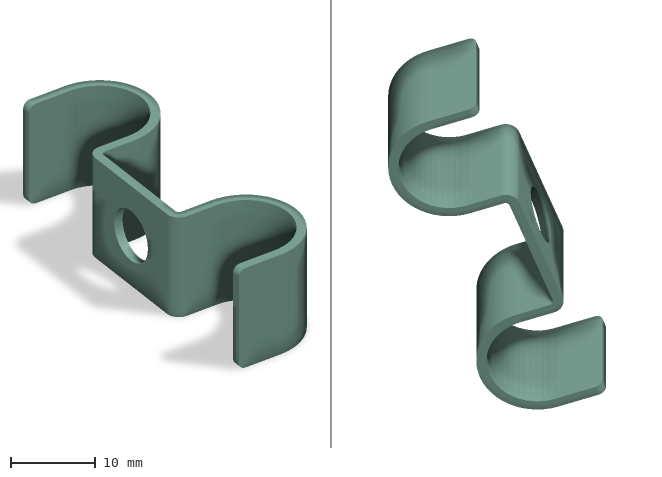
import cadquery as cq

length = 44.8
height = 14.0
thickness = 1.2
saddle_radius = 6.0
leg_length = 6.0
bend_radius = 0.5
hole_diameter = 7.0
corner_radius = 1.0

outer_radius = saddle_radius + thickness
saddle_x = length / 2 - outer_radius
base_y = -leg_length
web_y = base_y + thickness
outer_bend_radius = bend_radius + thickness
bend_y = base_y + outer_bend_radius
inner_leg_x = saddle_x - outer_radius
bend_x = inner_leg_x - bend_radius


def half_strip():
    """Right half of the bent strip: web, bend, saddle and free leg."""
    mid_bend = 0.5 ** 0.5
    return (
        cq.Workplane("XY")
        .moveTo(0, base_y)
        .lineTo(bend_x, base_y)
        .threePointArc(
            (bend_x + outer_bend_radius * mid_bend, bend_y - outer_bend_radius * mid_bend),
            (bend_x + outer_bend_radius, bend_y),
        )
        .lineTo(saddle_x - saddle_radius, 0)
        .threePointArc((saddle_x, saddle_radius), (saddle_x + saddle_radius, 0))
        .lineTo(saddle_x + saddle_radius, base_y)
        .lineTo(saddle_x + outer_radius, base_y)
        .lineTo(saddle_x + outer_radius, 0)
        .threePointArc((saddle_x, outer_radius), (inner_leg_x, 0))
        .lineTo(inner_leg_x, bend_y)
        .threePointArc(
            (bend_x + bend_radius * mid_bend, bend_y - bend_radius * mid_bend),
            (bend_x, web_y),
        )
        .lineTo(0, web_y)
        .close()
        .extrude(height / 2, both=True)
    )


def round_leg_end(half):
    """Round the upper and lower corners of the free leg."""
    leg_x = saddle_x + saddle_radius + thickness / 2
    corners = cq.selectors.BoxSelector(
        (leg_x - thickness, base_y - thickness, -height),
        (leg_x + thickness, base_y + thickness / 2, height),
    )
    return half.edges(corners).edges("|X").edges("<Z or >Z").fillet(corner_radius)


right_half = round_leg_end(half_strip())
strip = right_half.union(right_half.mirror("YZ"))

hole = (
    cq.Workplane("XZ", origin=(0, web_y, 0))
    .circle(hole_diameter / 2)
    .extrude(thickness)
)
result = strip.cut(hole)